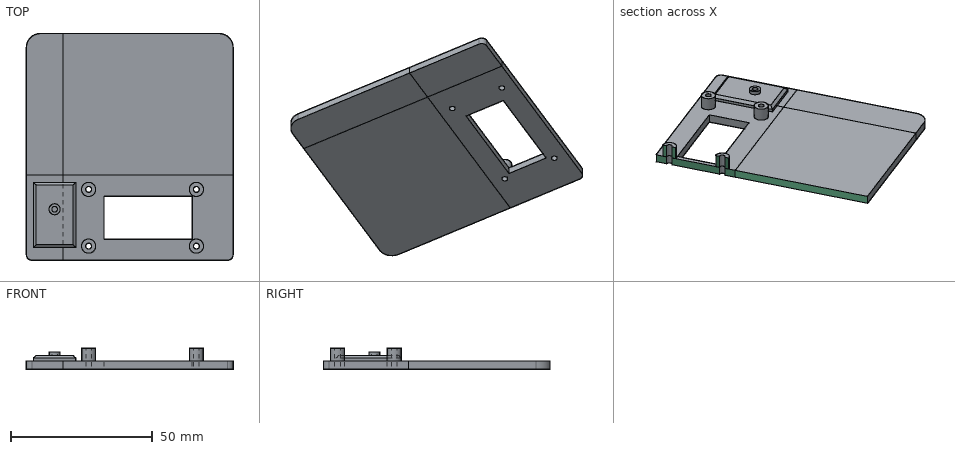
import cadquery as cq

PLATE_WIDTH = 73.0
PLATE_DEPTH = 80.0
PLATE_THICKNESS = 3.0
REAR_CORNER_RADIUS = 5.0
FRONT_CORNER_RADIUS = 2.0

SIDE_JOINT_X = 13.0
CROSS_JOINT_Y = 30.0

WINDOW_LEFT = 27.5
WINDOW_WIDTH = 31.0
WINDOW_DEPTH = 15.0
WINDOW_CENTER_Y = CROSS_JOINT_Y / 2

STANDOFF_DIAMETER = 5.0
STANDOFF_HEIGHT = 4.5
SCREW_HOLE_DIAMETER = 2.0
STANDOFF_LEFT_X = 22.0
STANDOFF_SPACING_X = 38.0
STANDOFF_SPACING_Y = 20.0
STANDOFF_POINTS = [
    (x, WINDOW_CENTER_Y + side * STANDOFF_SPACING_Y / 2)
    for x in (STANDOFF_LEFT_X, STANDOFF_LEFT_X + STANDOFF_SPACING_X)
    for side in (-1, 1)
]

PAD_LEFT = 2.5
PAD_FRONT = 4.5
PAD_WIDTH = 15.0
PAD_DEPTH = 23.0
PAD_HEIGHT = 2.0
PAD_BEVEL = 1.0
BOSS_X = PAD_LEFT + PAD_WIDTH / 2
BOSS_Y = 18.0
BOSS_DIAMETER = 3.9
BOSS_HEIGHT = 1.25
BOSS_HOLE_DIAMETER = 2.0


def block(left, front, bottom, width, depth, height):
    """Box placed by its lower front left corner."""
    return cq.Workplane("XY").box(width, depth, height, centered=False).translate((left, front, bottom))


def make_panel(left, right, front, rear, corner_edge, corner_radius):
    """Quarter of the base plate with its one outer corner rounded."""
    panel = block(left, front, 0, right - left, rear - front, PLATE_THICKNESS)
    return panel.edges("|Z").edges(corner_edge).fillet(corner_radius)


def make_front_right_panel():
    """Panel with the window and the screw holes below the standoffs."""
    panel = make_panel(SIDE_JOINT_X, PLATE_WIDTH, 0, CROSS_JOINT_Y, ">X and <Y", FRONT_CORNER_RADIUS)
    window_front = WINDOW_CENTER_Y - WINDOW_DEPTH / 2
    window = block(WINDOW_LEFT, window_front, 0, WINDOW_WIDTH, WINDOW_DEPTH, PLATE_THICKNESS)
    screw_holes = (
        cq.Workplane("XY")
        .pushPoints(STANDOFF_POINTS)
        .circle(SCREW_HOLE_DIAMETER / 2)
        .extrude(PLATE_THICKNESS)
    )
    return panel.cut(window).cut(screw_holes)


def make_standoff(x, y):
    """Hollow post standing on the plate."""
    return (
        cq.Workplane("XY", origin=(x, y, PLATE_THICKNESS))
        .circle(STANDOFF_DIAMETER / 2)
        .circle(SCREW_HOLE_DIAMETER / 2)
        .extrude(STANDOFF_HEIGHT)
    )


def make_pad():
    """Rectangular pad with a bevelled top rim and a ring-shaped boss."""
    pad = block(PAD_LEFT, PAD_FRONT, PLATE_THICKNESS, PAD_WIDTH, PAD_DEPTH, PAD_HEIGHT)
    pad = pad.faces(">Z").edges().chamfer(PAD_BEVEL)
    boss = (
        cq.Workplane("XY", origin=(BOSS_X, BOSS_Y, PLATE_THICKNESS + PAD_HEIGHT))
        .circle(BOSS_DIAMETER / 2)
        .circle(BOSS_HOLE_DIAMETER / 2)
        .extrude(BOSS_HEIGHT)
    )
    return pad.union(boss)


front_left_panel = make_panel(0, SIDE_JOINT_X, 0, CROSS_JOINT_Y, "<X and <Y", FRONT_CORNER_RADIUS)
front_right_panel = make_front_right_panel()
rear_left_panel = make_panel(0, SIDE_JOINT_X, CROSS_JOINT_Y, PLATE_DEPTH, "<X and >Y", REAR_CORNER_RADIUS)
rear_right_panel = make_panel(
    SIDE_JOINT_X, PLATE_WIDTH, CROSS_JOINT_Y, PLATE_DEPTH, ">X and >Y", REAR_CORNER_RADIUS
)
pad = make_pad()
standoffs = [make_standoff(x, y) for x, y in STANDOFF_POINTS]

result = cq.Compound.makeCompound([
    front_left_panel.val(),
    front_right_panel.val(),
    rear_left_panel.val(),
    rear_right_panel.val(),
    pad.val(),
    *[standoff.val() for standoff in standoffs],
])